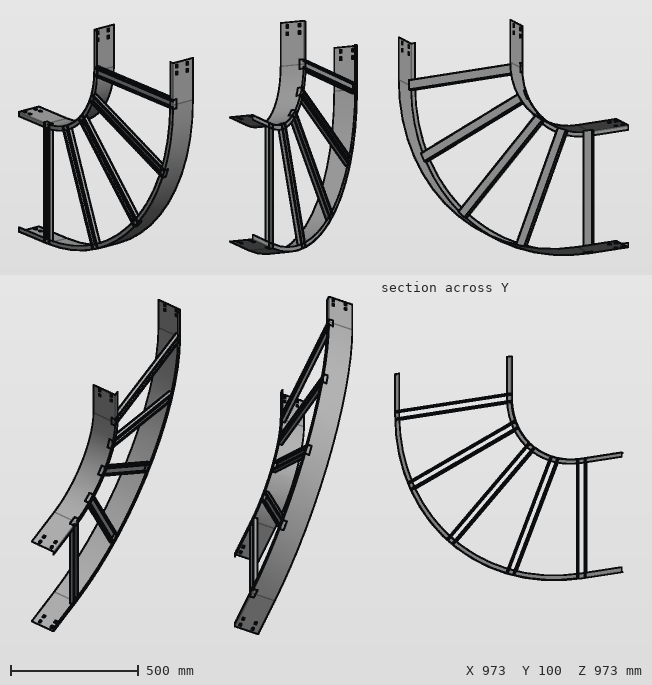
import cadquery as cq
import math


overall_size = 973.0
rail_height = 100.0
sheet_thickness = 1.5
flange_width = 19.0
fold_radius = 2.0
straight_length = 173.0
rail_spacing = 500.0

rung_count = 5
rung_width = 39.0
rung_depth = 18.0
rung_wall = 1.5
rung_lip_width = 8.0

hole_length = 12.0
hole_height = 8.0
hole_end_offsets = (17.0, 46.0)
hole_depths = (18.5, 71.0)

bend_angle = 90.0
outer_radius = overall_size - straight_length
inner_radius = outer_radius - rail_spacing
bend_center_x = straight_length
bend_center_z = outer_radius
diagonal = math.sqrt(0.5)


def rail(web_radius, flange_side):
    """Folded angle rail, swept round a quarter bend with a straight tail at each end.

    web_radius is the radius of the web's outside face. flange_side is 1 for a flange that
    points away from the bend centre and -1 for one that points towards it.
    """
    path = (
        cq.Workplane("XZ")
        .moveTo(-straight_length, -web_radius)
        .lineTo(0, -web_radius)
        .threePointArc((web_radius * diagonal, -web_radius * diagonal), (web_radius, 0))
        .lineTo(web_radius, straight_length)
    )

    def point(depth, reach):
        """Section point at a Y depth and a distance from the web's outside face."""
        return (depth, -web_radius - flange_side * reach)

    outside_mid = fold_radius * (1 - diagonal)
    inside_mid = fold_radius - (fold_radius - sheet_thickness) * diagonal
    section = (
        cq.Workplane("YZ", origin=(-straight_length, 0, 0))
        .moveTo(*point(rail_height, 0))
        .lineTo(*point(fold_radius, 0))
        .threePointArc(point(outside_mid, outside_mid), point(0, fold_radius))
        .lineTo(*point(0, flange_width))
        .lineTo(*point(sheet_thickness, flange_width))
        .lineTo(*point(sheet_thickness, fold_radius))
        .threePointArc(point(inside_mid, inside_mid), point(fold_radius, sheet_thickness))
        .lineTo(*point(rail_height, sheet_thickness))
        .close()
    )
    return section.sweep(path)


def rung():
    """Lipped channel along +X from the bend centre, resting on the flanges and open towards -Y."""
    overlap = sheet_thickness / 2
    start = inner_radius + overlap
    end = math.sqrt((outer_radius - overlap) ** 2 - (rung_width / 2) ** 2)
    length = end - start
    cavity_depth = rung_depth - 2 * rung_wall
    cavity_width = rung_width - 2 * rung_wall
    opening_depth = rung_depth / 2
    opening_width = rung_width - 2 * rung_lip_width

    bar = cq.Workplane("XY").box(length, rung_depth, rung_width)
    cavity = cq.Workplane("XY").box(length, cavity_depth, cavity_width)
    opening = cq.Workplane("XY").box(length, opening_depth, opening_width)
    opening = opening.translate((0, -opening_depth / 2, 0))
    channel = bar.cut(cavity).cut(opening)
    return channel.translate(((start + end) / 2, sheet_thickness + rung_depth / 2, 0))


def joint_holes():
    """Rectangular cutters that pass through both webs at each end of the bend."""
    cutter_length = rail_spacing + 2 * flange_width
    cutter_middle = (inner_radius + outer_radius) / 2
    left_cutter = cq.Workplane("XY").box(hole_length, hole_height, cutter_length)
    top_cutter = cq.Workplane("XY").box(cutter_length, hole_height, hole_length)
    cutters = []
    for end_offset in hole_end_offsets:
        tail_position = straight_length - end_offset
        for depth in hole_depths:
            cutters.append(left_cutter.translate((-tail_position, depth, -cutter_middle)))
            cutters.append(top_cutter.translate((cutter_middle, depth, tail_position)))
    return cutters


body = rail(inner_radius, 1).union(rail(outer_radius, -1))

for index in range(rung_count):
    angle = bend_angle * index / (rung_count - 1)
    body = body.union(rung().rotate((0, 0, 0), (0, 1, 0), angle))

for cutter in joint_holes():
    body = body.cut(cutter)

result = body.translate((bend_center_x, 0, bend_center_z))